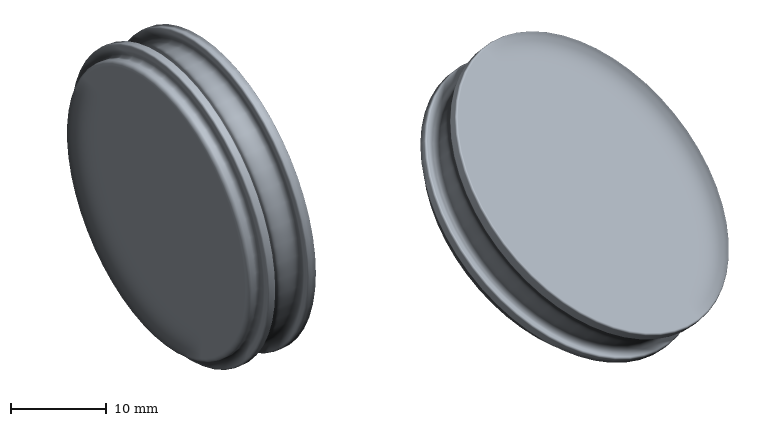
import cadquery as cq

flange_radius = 18.15
body_radius = 16.77
nose_length = 1.6
front_flange_width = 1.0
groove_width = 4.0
back_flange_width = 1.15
body_round = 0.5
flange_round = 0.2

front_flange_start = nose_length
back_flange_start = front_flange_start + front_flange_width + groove_width
total_length = back_flange_start + back_flange_width


def disc(radius, start, length):
    """Disc coaxial with Y, reaching from start to start + length."""
    plane = cq.Workplane("XZ", origin=(0, start, 0))
    return plane.circle(radius).extrude(-length)


def flange(start, width):
    """Flange with both outer edges rounded."""
    return disc(flange_radius, start, width).edges().fillet(flange_round)


body = disc(body_radius, 0, total_length).faces("<Y").edges().fillet(body_round)

part = body.union(flange(front_flange_start, front_flange_width))
part = part.union(flange(back_flange_start, back_flange_width))

root_y_positions = (
    front_flange_start,
    front_flange_start + front_flange_width,
    back_flange_start,
)
selection_margin = 0.05
for root_y in root_y_positions:
    reach = body_radius + selection_margin
    root_box = cq.selectors.BoxSelector(
        (-reach, root_y - selection_margin, -reach),
        (reach, root_y + selection_margin, reach),
        boundingbox=True,
    )
    part = part.edges(root_box).fillet(body_round)

result = part